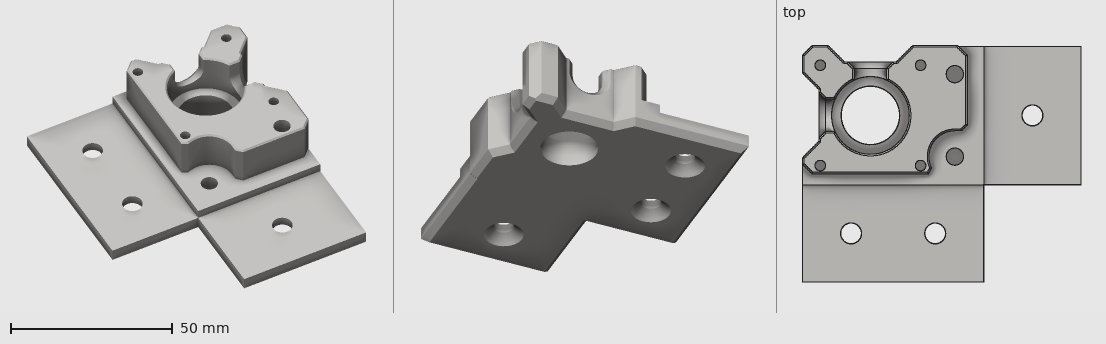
import cadquery as cq
import math

length_x = 86.0
length_y = 73.0
height = 22.0
plate_top = 6.0
base_top = 9.0
bottom_chamfer = 2.0
top_chamfer = 0.5

block_right = 56.0
block_front = 30.0
body_overhang = 0.3
base_back = length_y - body_overhang

body_right = 50.9
body_front = 33.4
corner_cut = 3.0
bore_x = 21.0
bore_y = 51.4
bore_diameter = 24.0
through_diameter = 18.0

notch_depth = 5.1
notch_half_floor = 8.0
notch_half_mouth = notch_half_floor + notch_depth

groove_axis_z = 17.0
groove_radius = 5.0
groove_flare = 2.0

screw_pitch = 31.0
screw_diameter = 3.3
blind_hole_floor = 3.0
side_hole_diameter = 5.3
side_hole_x = 47.0
side_hole_pitch = 25.45
front_side_hole_y = bore_y - side_hole_pitch / 2

relief_radius = 8.0
relief_edge_y = front_side_hole_y + relief_radius
relief_corner_cut = 1.8
relief_tip_y = 35.2
relief_foot_x = 38.9

flange_hole_diameter = 6.4
flange_sink_depth = 3.0
right_flange_hole_x = (block_right + length_x) / 2
front_flange_holes_y = block_front / 2
front_flange_pitch = 26.0


def notched_sides(sketch):
    """Draw along the back and left sides to the front left notch. Their shared corner stays square."""
    return (
        sketch
        .lineTo(bore_x + notch_half_mouth, length_y)
        .lineTo(bore_x + notch_half_floor, length_y - notch_depth)
        .lineTo(bore_x - notch_half_floor, length_y - notch_depth)
        .lineTo(bore_x - notch_half_mouth, length_y)
        .lineTo(0, length_y)
        .lineTo(0, bore_y + notch_half_mouth)
        .lineTo(notch_depth, bore_y + notch_half_floor)
        .lineTo(notch_depth, bore_y - notch_half_floor)
        .lineTo(0, bore_y - notch_half_mouth)
    )


def base_blank():
    """Lower plate over the whole L-shaped outline, chamfered all round its underside."""
    outline = cq.Workplane("XY").moveTo(body_right - corner_cut, length_y)
    outline = (
        notched_sides(outline)
        .lineTo(0, 0)
        .lineTo(block_right, 0)
        .lineTo(block_right, block_front)
        .lineTo(length_x, block_front)
        .lineTo(length_x, base_back)
        .lineTo(body_right - corner_cut + body_overhang, base_back)
        .close()
    )
    return outline.extrude(plate_top).faces("<Z").chamfer(bottom_chamfer)


def raised_block():
    """Step between the plate and the body."""
    outline = cq.Workplane("XY").workplane(offset=plate_top).moveTo(body_right - corner_cut, length_y)
    return (
        notched_sides(outline)
        .lineTo(0, block_front)
        .lineTo(block_right, block_front)
        .lineTo(block_right, base_back)
        .lineTo(body_right - corner_cut + body_overhang, base_back)
        .close()
        .extrude(base_top - plate_top)
    )


def body_blank():
    """Motor body with its corner cuts, notches and round relief."""
    diagonal = relief_radius * math.sqrt(0.5)
    tip_offset = front_side_hole_y - relief_tip_y
    tip_x = side_hole_x - math.sqrt(relief_radius**2 - tip_offset**2)
    outline = cq.Workplane("XY").workplane(offset=base_top).moveTo(body_right - corner_cut, length_y)
    return (
        notched_sides(outline)
        .lineTo(0, body_front + corner_cut)
        .lineTo(corner_cut, body_front)
        .lineTo(relief_foot_x, body_front)
        .lineTo(tip_x, relief_tip_y)
        .threePointArc(
            (side_hole_x - diagonal, front_side_hole_y + diagonal),
            (side_hole_x, relief_edge_y),
        )
        .lineTo(body_right - relief_corner_cut, relief_edge_y)
        .lineTo(body_right, relief_edge_y + relief_corner_cut)
        .lineTo(body_right, length_y - corner_cut)
        .close()
        .extrude(height - base_top)
    )


def u_profile(radius):
    """U-shaped wire on the YZ plane, round below the groove axis and reaching up to the part top."""
    top = height - groove_axis_z
    return (
        cq.Workplane("YZ")
        .moveTo(-radius, top)
        .lineTo(-radius, 0)
        .threePointArc((0, -radius), (radius, 0))
        .lineTo(radius, top)
        .close()
    )


def groove():
    """Groove cutter running in +X from a notch floor to the bore axis, flared at its mouth."""
    run = bore_x - notch_depth
    straight = u_profile(groove_radius).extrude(run)
    mouth_radius = groove_radius + groove_flare
    cone = cq.Solid.makeCone(mouth_radius, groove_radius, groove_flare, dir=cq.Vector(1, 0, 0))
    wedge = (
        cq.Workplane("XY")
        .moveTo(0, -mouth_radius)
        .lineTo(groove_flare, -groove_radius)
        .lineTo(groove_flare, groove_radius)
        .lineTo(0, mouth_radius)
        .close()
        .extrude(height - groove_axis_z)
    )
    return straight.union(cq.Workplane(cone)).union(wedge)


def back_left_corner():
    """Full-height wedge that bevels the corner between the back and left sides."""
    return (
        cq.Workplane("XY")
        .moveTo(0, length_y - corner_cut)
        .lineTo(corner_cut, length_y)
        .lineTo(0, length_y)
        .close()
        .extrude(height)
    )


def upright_cylinders(points, diameter, floor):
    """Cylinders from the floor level up to the top of the part."""
    return (
        cq.Workplane("XY")
        .workplane(offset=floor)
        .pushPoints(points)
        .circle(diameter / 2)
        .extrude(height - floor)
    )


def flange_hole(x, y):
    """Through hole with a 45 degree countersink in the underside."""
    radius = flange_hole_diameter / 2
    sink = cq.Solid.makeCone(radius + flange_sink_depth, radius, flange_sink_depth, pnt=cq.Vector(x, y, 0))
    return upright_cylinders([(x, y)], flange_hole_diameter, 0).union(cq.Workplane(sink))


body = body_blank().union(raised_block()).union(base_blank())
body = body.cut(back_left_corner())
body = body.cut(upright_cylinders([(bore_x, bore_y)], bore_diameter, base_top))
body = body.cut(groove().translate((notch_depth, bore_y, groove_axis_z)))
body = body.cut(
    groove()
    .rotate((0, 0, 0), (0, 0, 1), -90)
    .translate((bore_x, length_y - notch_depth, groove_axis_z))
)
body = body.faces(">Z").chamfer(top_chamfer)

body = body.cut(upright_cylinders([(bore_x, bore_y)], through_diameter, 0))
screw_points = [
    (bore_x + side_x * screw_pitch / 2, bore_y + side_y * screw_pitch / 2)
    for side_x in (-1, 1)
    for side_y in (-1, 1)
]
body = body.cut(upright_cylinders(screw_points, screw_diameter, blind_hole_floor))
side_hole_points = [(side_hole_x, front_side_hole_y), (side_hole_x, front_side_hole_y + side_hole_pitch)]
body = body.cut(upright_cylinders(side_hole_points, side_hole_diameter, blind_hole_floor))
body = body.cut(flange_hole(right_flange_hole_x, bore_y))
for side in (-1, 1):
    hole_x = (block_right + side * front_flange_pitch) / 2
    body = body.cut(flange_hole(hole_x, front_flange_holes_y))

result = body